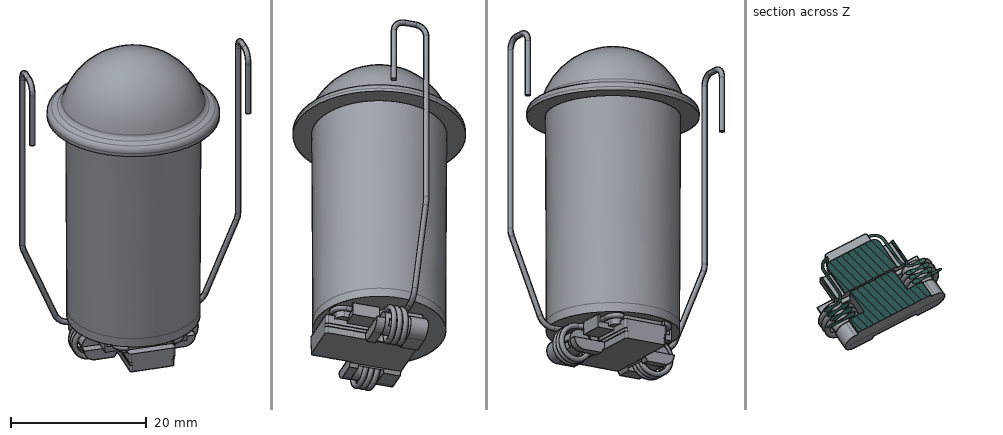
import cadquery as cq
import math


can_base_radius = 9.85
can_top_radius = 10.0
base_band_height = 1.4
flange_bottom = 33.5
flange_radius = 12.745
flange_rim_height = 0.5
flange_round = 1.0
flange_slope = math.radians(19.3)
dome_radius = 11.0
dome_top = 43.85
dome_round = 1.0

wire_radius = 0.4
wire_bend = 1.67
coil_radius = 2.5
coil_pitch = 0.9
coil_turns = 3
coil_y = 6.83
coil_z = -2.95
coil_start_x = -1.57
coil_end_x = coil_start_x + coil_turns * coil_pitch
wire_z = coil_z + coil_radius

leg_y = 16.655
leg_foot_y = 9.3
leg_foot_bend = 2.5
leg_knee_bend = 3.0
leg_angle = math.radians(67.3)
hook_z = 43.1
hook_width = 5.04
hook_tip_z = 33.07

tail_y = coil_y - wire_bend
tail_bend_x = 6.98

pin_radius = 1.75
coil_seat_radius = 1.7
neck_half = 6.31
bar_left = -4.63
bar_right = 1.96
parting_z = -3.0
parting_ridge = 0.08
foot_right = 3.3
bar_bottom = coil_z - pin_radius
notch_top = -4.1
notch_half = 3.6
notch_chamfer = 0.33
pocket_left = -2.0
coil_clearance = 0.2
pocket_inner_y = coil_y - coil_radius - wire_radius - coil_clearance
flat_left = -1.65
flat_right = 1.33
flat_y = 8.12

block_left = 2.12
block_right = 6.3
block_bottom = -2.0
channel_outer_y = 5.95
channel_bottom = -1.1
stem_corner = 1.0
stem_right = tail_bend_x + stem_corner
stem_half = coil_y - 2 * wire_bend + stem_corner
arm_root = 0
arm_right = 9.53
arm_corner = 0.35
arm_floor = -1.55
arm_step = -2.52
arm_layer_inset = 0.1
lip_left = 8.15
lip_top = -1.1


def box(x0, x1, y0, y1, z0, z1):
    """Box between two opposite corners."""
    size = (x1 - x0, y1 - y0, z1 - z0)
    return cq.Workplane("XY", origin=(x0, y0, z0)).box(*size, centered=False)


def on_both_sides(shape):
    """The shape together with its mirror image across the XZ plane."""
    return shape.union(shape.mirror("XZ"))


def polar(center, radius, angle):
    """Point of a circle in the XZ half plane, angle measured from +X."""
    return (center[0] + radius * math.cos(angle), center[1] + radius * math.sin(angle))


def make_housing():
    """Can, rounded flange and dome as one revolved solid."""
    upright = math.pi / 2
    cone_normal = upright - flange_slope
    rim_top = flange_bottom + flange_rim_height
    rim_center = (flange_radius - flange_round, rim_top)
    rim_mid = polar(rim_center, flange_round, cone_normal / 2)
    cone_outer = polar(rim_center, flange_round, cone_normal)

    dome_center = (0, dome_top - dome_radius)
    cone_height = (
        (cone_outer[0] - dome_center[0]) * math.cos(cone_normal)
        + (cone_outer[1] - dome_center[1]) * math.sin(cone_normal)
    )
    center_distance = dome_radius + dome_round
    center_height = cone_height + dome_round
    round_direction = cone_normal - math.acos(center_height / center_distance)
    round_center = polar(dome_center, center_distance, round_direction)
    cone_inner = polar(round_center, dome_round, cone_normal + math.pi)
    dome_edge = polar(dome_center, dome_radius, round_direction)
    round_mid_angle = (cone_normal + round_direction) / 2 + math.pi
    round_mid = polar(round_center, dome_round, round_mid_angle)
    dome_mid = polar(dome_center, dome_radius, (round_direction + upright) / 2)

    return (
        cq.Workplane("XZ")
        .moveTo(0, 0)
        .lineTo(can_base_radius, 0)
        .lineTo(can_base_radius, base_band_height)
        .lineTo(can_top_radius, flange_bottom)
        .lineTo(flange_radius, flange_bottom)
        .lineTo(flange_radius, rim_top)
        .threePointArc(rim_mid, cone_outer)
        .lineTo(*cone_inner)
        .threePointArc(round_mid, dome_edge)
        .threePointArc(dome_mid, (0, dome_top))
        .close()
        .revolve(360, (0, 0, 0), (0, 1, 0))
    )


def sweep_wire(path, start, direction):
    """Round wire swept along a path that starts at a point in a direction."""
    section = cq.Workplane(cq.Plane(origin=start, normal=direction)).circle(wire_radius)
    return section.sweep(path, isFrenet=False)


def make_leg():
    """Leg from the top of the coil up to the hook, bent in the YZ plane."""
    sine = math.sin(leg_angle)
    cosine = math.cos(leg_angle)
    slant_start_y = leg_foot_y + leg_foot_bend * sine
    slant_start_z = wire_z + leg_foot_bend * (1 - cosine)
    slant_end_y = leg_y - leg_knee_bend * (1 - sine)
    slant_end_z = slant_start_z + (slant_end_y - slant_start_y) * math.tan(leg_angle)
    knee_top_z = slant_end_z + leg_knee_bend * cosine
    path = (
        cq.Workplane("YZ", origin=(coil_start_x, 0, 0))
        .moveTo(coil_y, wire_z)
        .lineTo(leg_foot_y, wire_z)
        .tangentArcPoint((slant_start_y, slant_start_z), relative=False)
        .lineTo(slant_end_y, slant_end_z)
        .tangentArcPoint((leg_y, knee_top_z), relative=False)
        .lineTo(leg_y, hook_z - wire_bend)
    )
    return sweep_wire(path, (coil_start_x, coil_y, wire_z), (0, 1, 0))


def make_hook():
    """Inverted U at the top of the leg, bent in the XZ plane."""
    hook_end_x = coil_start_x + hook_width
    bend_z = hook_z - wire_bend
    path = (
        cq.Workplane("XZ", origin=(0, leg_y, 0))
        .moveTo(coil_start_x, bend_z)
        .radiusArc((coil_start_x + wire_bend, hook_z), wire_bend)
        .lineTo(hook_end_x - wire_bend, hook_z)
        .radiusArc((hook_end_x, bend_z), wire_bend)
        .lineTo(hook_end_x, hook_tip_z)
    )
    return sweep_wire(path, (coil_start_x, leg_y, bend_z), (0, 0, 1))


def make_coil():
    """Helical coil round the bracket pin, starting and ending at its top."""
    helix = cq.Wire.makeHelix(coil_pitch, coil_turns * coil_pitch, coil_radius)
    coil = (
        cq.Workplane("XZ", origin=(coil_radius, 0, 0))
        .circle(wire_radius)
        .sweep(cq.Workplane(helix), isFrenet=True)
    )
    coil_plane = cq.Plane(
        origin=(coil_start_x, coil_y, coil_z), xDir=(0, 0, 1), normal=(1, 0, 0)
    )
    return cq.Workplane(coil.val().moved(cq.Location(coil_plane)))


def make_tail():
    """Tail from the top of the coil along X, ending in a bend behind the stem."""
    path = (
        cq.Workplane("XY", origin=(0, 0, wire_z))
        .moveTo(coil_end_x, coil_y)
        .radiusArc((coil_end_x + wire_bend, tail_y), -wire_bend)
        .lineTo(tail_bend_x, tail_y)
        .radiusArc((tail_bend_x + wire_bend, tail_y - wire_bend), wire_bend)
    )
    return sweep_wire(path, (coil_end_x, coil_y, wire_z), (0, -1, 0))


def make_spring():
    """Torsion spring on the +Y side, bent from one round wire."""
    spring = make_leg().union(make_hook()).union(make_tail())
    for x in (coil_start_x, coil_end_x):
        spring = spring.union(cq.Workplane("XY", origin=(x, coil_y, wire_z)).sphere(wire_radius))
    return spring.union(make_coil())


def make_bar():
    """Cross bar with round ends: its end outline cut to its side outline."""
    bar_shoulder = coil_z + pin_radius
    pin_tip = coil_y + pin_radius
    length = foot_right - bar_left + parting_ridge
    bar = (
        cq.Workplane("YZ", origin=(bar_left - parting_ridge, 0, 0))
        .moveTo(0, 0)
        .lineTo(neck_half, 0)
        .lineTo(neck_half, bar_shoulder)
        .lineTo(coil_y, bar_shoulder)
        .threePointArc((pin_tip, coil_z), (coil_y, bar_bottom))
        .lineTo(notch_half + notch_chamfer, bar_bottom)
        .lineTo(notch_half, notch_top)
        .lineTo(0, notch_top)
        .close()
        .extrude(length)
    )
    side_outline = (
        cq.Workplane("XZ")
        .polyline([
            (bar_left, 0),
            (bar_right, 0),
            (bar_right, parting_z),
            (foot_right, parting_z),
            (foot_right, bar_bottom),
            (bar_left, bar_bottom),
            (bar_left - parting_ridge, parting_z),
        ])
        .close()
        .extrude(pin_tip, both=True)
    )
    return on_both_sides(bar).intersect(side_outline)


def make_coil_pocket():
    """Openings through the bar that leave room for the coils."""
    outer_y = coil_y + coil_radius
    bottom = bar_bottom - wire_radius
    return on_both_sides(box(pocket_left, bar_right, pocket_inner_y, outer_y, bottom, 0))


def make_pins():
    """Pins through the coils, a little thinner than the bar ends, flatted low on the tip."""
    outer_y = coil_y + coil_radius
    pin = (
        cq.Workplane("YZ", origin=(pocket_left, coil_y, coil_z))
        .circle(coil_seat_radius)
        .extrude(bar_right - pocket_left)
    )
    flat = box(flat_left, flat_right, flat_y, outer_y, bar_bottom, parting_z)
    return on_both_sides(pin.cut(flat))


def make_block():
    """Shoulder block with a channel on each side for the spring tail."""
    block = box(block_left, block_right, -neck_half, neck_half, block_bottom, 0)
    channel = box(block_left, block_right, stem_half, channel_outer_y, channel_bottom, 0)
    return block.cut(on_both_sides(channel))


def make_stem():
    """Stem under the housing, rounded where the spring tails wrap round it."""
    stem = box(block_left, stem_right, -stem_half, stem_half, arm_floor, 0)
    return stem.edges("|Z and >X").fillet(stem_corner)


def arm_layer(left, half, bottom, top):
    """One layer of the arm, with rounded corners at its free end."""
    layer = box(left, arm_right, -half, half, bottom, top)
    return layer.edges("|Z and >X").fillet(arm_corner)


def make_arm():
    """Arm of stepped layers, each narrower downward, with a lip at its free end."""
    levels = (arm_floor, arm_step, parting_z, notch_top)
    arm = arm_layer(lip_left, notch_half, arm_floor, lip_top)
    for index in range(len(levels) - 1):
        half = notch_half - index * arm_layer_inset
        arm = arm.union(arm_layer(arm_root, half, levels[index + 1], levels[index]))
    return arm


def make_bracket():
    """Bracket below the housing that carries both springs."""
    bar = make_bar().cut(make_coil_pocket()).union(make_pins())
    return bar.union(make_block()).union(make_stem()).union(make_arm())


housing = make_housing()
bracket = make_bracket()
spring = make_spring()
springs = [spring, spring.mirror("XZ")]

result = cq.Compound.makeCompound(
    [housing.val(), bracket.val()] + [side_spring.val() for side_spring in springs]
)